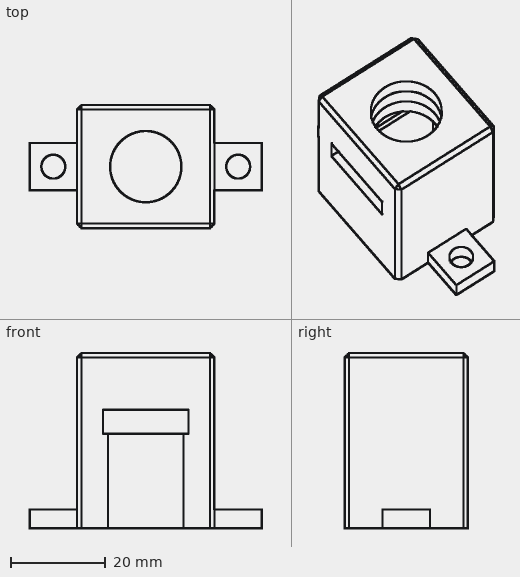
import cadquery as cq

body_length = 29.0
body_depth = 26.0
body_height = 37.0
edge_chamfer = 1.0

overall_length = 49.0
tab_width = 10.0
tab_height = 4.0
tab_hole_diameter = 5.0
tab_length = (overall_length - body_length) / 2
tab_hole_x = (overall_length - tab_length) / 2

bore_diameter = 15.0
cavity_diameter = 20.0
cavity_height = 4.0
cavity_top_cover = 4.0
cavity_floor = body_height - cavity_top_cover - cavity_height

slot_width = 18.0
slot_bottom = 20.0
slot_top = 25.0
channel_width = 16.0
channel_back = bore_diameter / 2


def base_block(length, depth, height):
    """Block centred in X and Y, standing on Z = 0."""
    return cq.Workplane("XY").box(length, depth, height, centered=(True, True, False))


def cylinder(diameter, bottom, top):
    """Vertical cylinder on the Z axis."""
    return cq.Workplane("XY").workplane(offset=bottom).circle(diameter / 2).extrude(top - bottom)


body = base_block(body_length, body_depth, body_height)
body = body.edges("|Z or >Z").chamfer(edge_chamfer)

tabs = base_block(overall_length, tab_width, tab_height)
tab_holes = (
    cq.Workplane("XY")
    .pushPoints([(-tab_hole_x, 0), (tab_hole_x, 0)])
    .circle(tab_hole_diameter / 2)
    .extrude(tab_height)
)

slot = base_block(slot_width, body_depth, slot_top - slot_bottom).translate((0, 0, slot_bottom))

channel_depth = body_depth / 2 + channel_back
channel_y = channel_back - channel_depth / 2
channel = base_block(channel_width, channel_depth, slot_bottom).translate((0, channel_y, 0))

bore = cylinder(bore_diameter, slot_bottom, body_height)
cavity = cylinder(cavity_diameter, cavity_floor, cavity_floor + cavity_height)

result = body.union(tabs).cut(tab_holes).cut(slot).cut(channel).cut(bore).cut(cavity)